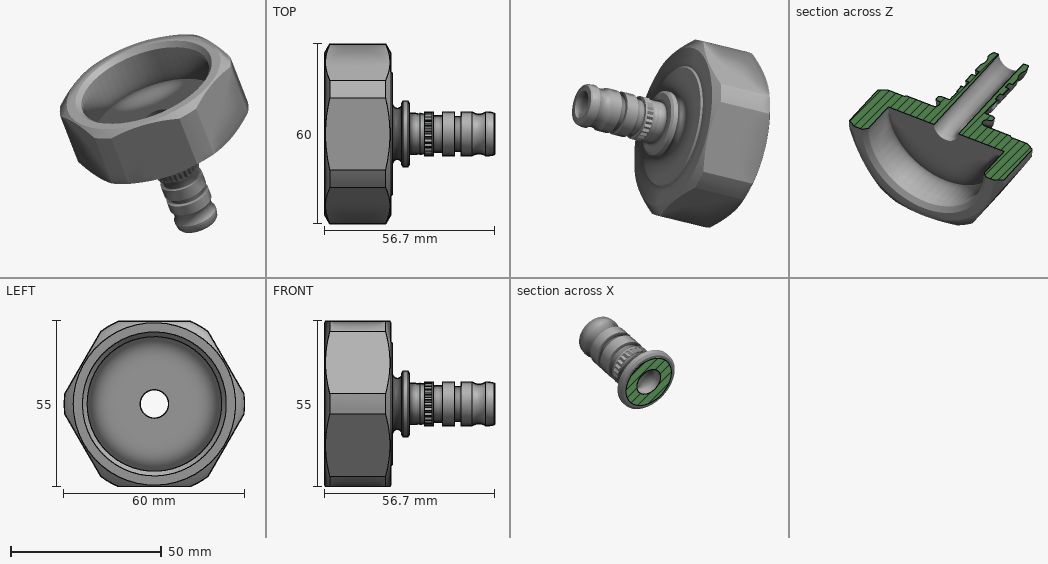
import cadquery as cq
import math

nut_length = 22.0
nut_across_flats = 55.0
nut_corner_diameter = 60.0
nut_face_radius = 27.0
nut_chamfer_angle = 30.0

socket_radius = 22.4
socket_depth = 14.4
socket_chamfer = 1.55
bore_radius = 4.7

shoulder_end = 22.6
shoulder_radius = 20.65
shoulder_chamfer = 0.55

throat_fillet = 1.55
throat_radius = 8.5

collar_start = 25.5
collar_end = 28.25
collar_radius = 11.0
collar_chamfer_length = 0.6
collar_chamfer_height = 0.9

barb_radius = 6.9
barb_root_radius = 6.7
barb_length = 0.8
first_barb_tip = 30.2
second_barb_tip = 31.75

ring_radius = 7.3
knurl_start = 33.3
knurl_end = 35.65
knurl_ring_end = 36.25
knurl_count = 25
knurl_crest_width = 0.2
knurl_clearance = 0.6

front_groove_radius = 6.1
rear_groove_radius = 5.9
front_ring_start = 39.2
front_ring_end = 43.25
rear_ring_start = 45.4
rear_ring_end = 49.1
waist_radius = 6.6
waist_end = 53.6
tip_round_start = 54.35
tip_round_end = 56.3
tip_round_radius = 6.95
tip_face_radius = 6.65
stem_end = 56.7


def revolve_about_x(profile):
    """Turn a closed (x, radius) profile into a solid around the X axis."""
    return profile.close().revolve(360, (0, 0, 0), (1, 0, 0))


def make_nut():
    corner_radius = nut_corner_diameter / 2
    chamfer_length = (corner_radius - nut_face_radius) * math.tan(math.radians(nut_chamfer_angle))
    envelope = revolve_about_x(
        cq.Workplane("XY")
        .moveTo(0, 0)
        .lineTo(0, nut_face_radius)
        .lineTo(chamfer_length, corner_radius)
        .lineTo(nut_length - chamfer_length, corner_radius)
        .lineTo(nut_length, nut_face_radius)
        .lineTo(nut_length, 0)
    )
    hexagon_diameter = nut_across_flats / math.cos(math.pi / 6)
    hexagon = cq.Workplane("YZ").polygon(6, hexagon_diameter).extrude(nut_length)
    return hexagon.intersect(envelope)


def make_stem():
    throat_center = shoulder_end + throat_fillet
    throat_center_radius = throat_radius + throat_fillet
    throat_end_drop = math.sqrt(throat_fillet**2 - (collar_start - throat_center) ** 2)
    collar_edge_radius = collar_radius - collar_chamfer_height

    return revolve_about_x(
        cq.Workplane("XY")
        .moveTo(socket_depth, 0)
        .lineTo(socket_depth, shoulder_radius)
        .lineTo(shoulder_end - shoulder_chamfer, shoulder_radius)
        .lineTo(shoulder_end, shoulder_radius - shoulder_chamfer)
        .lineTo(shoulder_end, throat_center_radius)
        .radiusArc((collar_start, throat_center_radius - throat_end_drop), -throat_fillet)
        .lineTo(collar_start, collar_edge_radius)
        .lineTo(collar_start + collar_chamfer_length, collar_radius)
        .lineTo(collar_end - collar_chamfer_length, collar_radius)
        .lineTo(collar_end, collar_edge_radius)
        .lineTo(collar_end, barb_radius)
        .lineTo(first_barb_tip, barb_radius)
        .lineTo(first_barb_tip + barb_length, barb_root_radius)
        .lineTo(second_barb_tip, barb_root_radius)
        .lineTo(second_barb_tip, barb_radius)
        .lineTo(second_barb_tip + barb_length, barb_root_radius)
        .lineTo(knurl_start, barb_root_radius)
        .lineTo(knurl_start, ring_radius)
        .lineTo(knurl_ring_end, ring_radius)
        .lineTo(knurl_ring_end, front_groove_radius)
        .lineTo(front_ring_start, front_groove_radius)
        .lineTo(front_ring_start, ring_radius)
        .lineTo(front_ring_end, ring_radius)
        .lineTo(front_ring_end, rear_groove_radius)
        .lineTo(rear_ring_start, rear_groove_radius)
        .lineTo(rear_ring_start, ring_radius)
        .lineTo(rear_ring_end, ring_radius)
        .threePointArc(((rear_ring_end + waist_end) / 2, waist_radius), (waist_end, ring_radius))
        .lineTo(tip_round_start, ring_radius)
        .tangentArcPoint((tip_round_end, tip_round_radius), relative=False)
        .lineTo(stem_end, tip_face_radius)
        .lineTo(stem_end, 0)
    )


def cut_knurl(body):
    """Cut V grooves as deep as the neck beside them, the first one straight up (+Z)."""
    half_groove_angle = math.pi / knurl_count - knurl_crest_width / (2 * ring_radius)
    edge_distance = ring_radius * math.cos(half_groove_angle)
    half_width = ring_radius * math.sin(half_groove_angle)
    groove = (
        cq.Workplane("YZ", origin=(knurl_start, 0, 0))
        .moveTo(0, barb_root_radius)
        .lineTo(half_width, edge_distance)
        .lineTo(half_width, ring_radius + knurl_clearance)
        .lineTo(-half_width, ring_radius + knurl_clearance)
        .lineTo(-half_width, edge_distance)
        .close()
        .extrude(knurl_end - knurl_start)
    )
    for index in range(knurl_count):
        angle = index * 360 / knurl_count
        body = body.cut(groove.rotate((0, 0, 0), (1, 0, 0), angle))
    return body


def make_socket():
    return revolve_about_x(
        cq.Workplane("XY")
        .moveTo(0, 0)
        .lineTo(0, socket_radius + socket_chamfer)
        .lineTo(socket_chamfer, socket_radius)
        .lineTo(socket_depth, socket_radius)
        .lineTo(socket_depth, 0)
    )


bore = cq.Workplane("YZ").circle(bore_radius).extrude(stem_end)
result = make_nut().union(cut_knurl(make_stem())).cut(make_socket()).cut(bore)